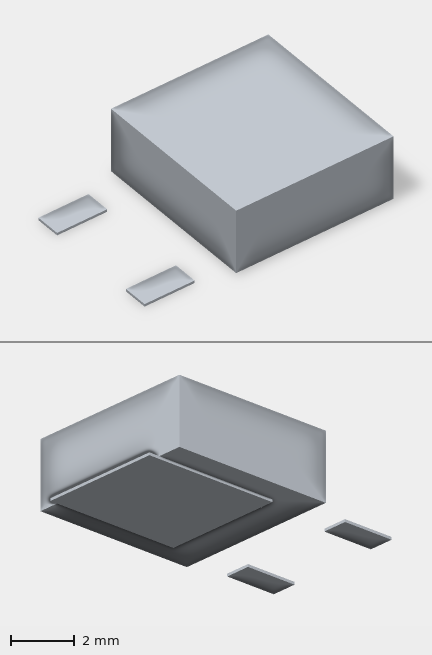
import cadquery as cq

overall_length = 9.9
overall_height = 2.6

metal_thickness = 0.1

tab_width = 4.63
tab_length = 5.23
tab_overhang = 0.43

body_width = 6.5
body_length = 6.23
body_height = overall_height - metal_thickness

lead_width = 0.97
lead_length = 1.98
lead_pitch = 4.54

back_y = overall_length / 2
front_y = -overall_length / 2
body_center_y = back_y - tab_overhang - body_length / 2
tab_center_y = back_y - tab_length / 2
lead_center_y = front_y + lead_length / 2


def make_block(width, length, height, center_x, center_y, bottom_z):
    """Rectangular block centred in X and Y, rising from bottom_z."""
    block = cq.Workplane("XY").box(width, length, height, centered=(True, True, False))
    return block.translate((center_x, center_y, bottom_z))


def make_body():
    """Package body resting on top of the heat tab."""
    return make_block(body_width, body_length, body_height, 0, body_center_y, metal_thickness)


def make_tab():
    """Flat heat tab that sticks out behind the body."""
    return make_block(tab_width, tab_length, metal_thickness, 0, tab_center_y, 0)


def make_lead(center_x):
    """Flat lead pad, separate from and in front of the body."""
    return make_block(lead_width, lead_length, metal_thickness, center_x, lead_center_y, 0)


body = make_body()
tab = make_tab()
leads = [make_lead(side * lead_pitch / 2) for side in (-1, 1)]

result = cq.Compound.makeCompound([body.val(), tab.val(), *[lead.val() for lead in leads]])